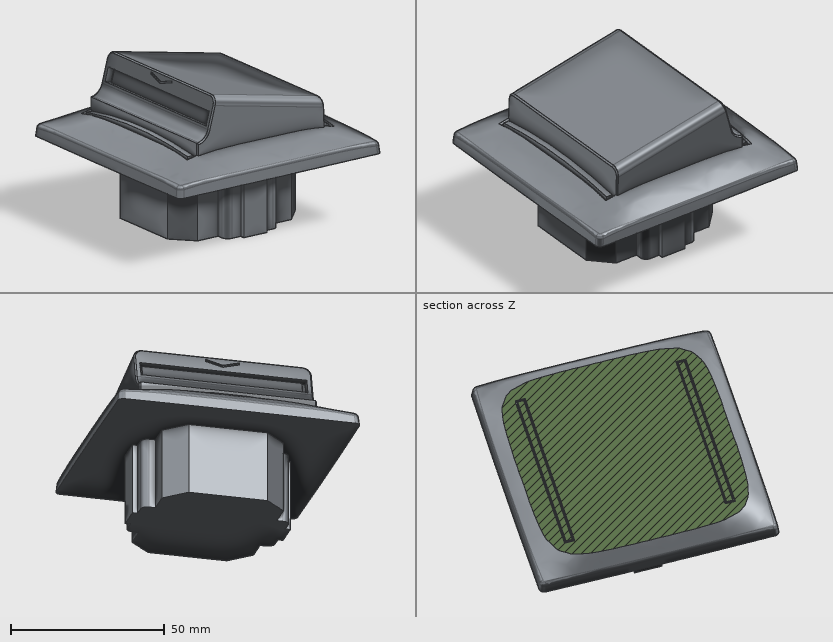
import cadquery as cq

PLATE_SIZE = 82.0
TOTAL_HEIGHT = 52.1

BASE_HEIGHT = 24.1
BASE_HALF_DEPTH = 25.7
FRONT_HALF_WIDTH = 13.3
FLANK_X = 20.5
FLANK_Y = 18.9
LOBE_X = 24.9
LOBE_Y = 10.6
LOBE_RADIUS = 2.3
RIB_X = 26.65
RIB_Y = 4.7

SIDE_BOW = 0.25
CORNER_RADIUS = 1.8
WALL_DRAFT = 6.0
RIM_HEIGHT = 27.9
CROWN_HEIGHT = 8.6
CROWN_POWER = 4.0
RIM_FILLET = 1.5
SURFACE_STEPS = 16
CLEARANCE = 0.8

OPENING_HALF_X = 28.8
OPENING_HALF_Y = 28.95
OPENING_CHAMFER = 0.65
INSERT_GAP = 0.5
INSERT_HALF_X = OPENING_HALF_X - INSERT_GAP
INSERT_HALF_Y = OPENING_HALF_Y - INSERT_GAP
OPENING_FLOOR = 30.3
INSERT_TOP_Z = 35.2
INSERT_END_Z = 33.0
BUTTON_GAP = 0.4

BUTTON_HALF_WIDTH = 30.0
BUTTON_ROOT_Z = 29.5
BUTTON_HALF_DEPTH = 25.75
BACK_TOP = (25.25, 43.1)
PEAK_TRIM = 0.1
PEAK = (-18.4, TOTAL_HEIGHT + PEAK_TRIM)
SCOOP_START = (-21.2, 41.25)
SCOOP_END = (-25.0, 37.5)
TOE_Z = 37.4
TOP_FILLET = 3.0
FACE_CHAMFER = 0.5

SLOT_HALF_WIDTH = 28.2
SLOT_TOP = 5.4
SLOT_BOTTOM = 10.4
SLOT_DEPTH = 1.9
END_HALF_WIDTH = 27.1
END_DEPTH = 2.5
ARROW_HALF_WIDTH = 5.7
ARROW_TOP = 1.15
ARROW_DROP = 1.7
ARROW_STROKE = 0.65
ARROW_DEPTH = 0.25


def make_base():
    """Prism that runs up into the plate, with two ribbed flanks."""
    right_front = [
        (FRONT_HALF_WIDTH, -BASE_HALF_DEPTH),
        (FLANK_X, -FLANK_Y),
        (FLANK_X, -LOBE_Y),
        (LOBE_X, -LOBE_Y),
        (LOBE_X, -RIB_Y),
        (RIB_X, -RIB_Y),
    ]
    right = right_front + [(x, -y) for x, y in reversed(right_front)]
    left = [(-x, -y) for x, y in right]
    base = cq.Workplane("XY").polyline(right + left).close().extrude(RIM_HEIGHT)
    for side_x in (-LOBE_X, LOBE_X):
        for side_y in (-LOBE_Y, LOBE_Y):
            corner = cq.selectors.NearestToPointSelector((side_x, side_y, RIM_HEIGHT / 2))
            base = base.edges(corner).fillet(LOBE_RADIUS)
    return base


def crown_factor(distance):
    """1 at the middle of the plate, 0 at its rim."""
    return 1 - (abs(distance) / (PLATE_SIZE / 2)) ** CROWN_POWER


def crown_z(x, y):
    return RIM_HEIGHT + CROWN_HEIGHT * crown_factor(x) * crown_factor(y)


def make_above_crown():
    """Everything above the domed crown surface."""
    reach = PLATE_SIZE / 2 + CLEARANCE
    steps = [reach * (2 * i / SURFACE_STEPS - 1) for i in range(SURFACE_STEPS + 1)]
    grid = [[cq.Vector(x, y, crown_z(x, y)) for y in steps] for x in steps]
    surface = cq.Face.makeSplineApprox(grid, tol=0.01, maxDeg=5)
    return cq.Workplane(cq.Solid.extrudeLinear(surface, cq.Vector(0, 0, 2 * CROWN_HEIGHT)))


def make_plate():
    """Drafted square with bowed sides under a domed top."""
    half = PLATE_SIZE / 2
    corner = half - SIDE_BOW
    blank = (
        cq.Workplane("XY", origin=(0, 0, BASE_HEIGHT))
        .moveTo(-corner, -corner)
        .threePointArc((0, -half), (corner, -corner))
        .threePointArc((half, 0), (corner, corner))
        .threePointArc((0, half), (-corner, corner))
        .threePointArc((-half, 0), (-corner, -corner))
        .close()
        .extrude(RIM_HEIGHT + CROWN_HEIGHT + CLEARANCE - BASE_HEIGHT, taper=WALL_DRAFT)
    )
    blank = blank.edges("not(<Z or >Z)").fillet(CORNER_RADIUS)
    plate = blank.cut(make_above_crown())
    return plate.faces(">Z").edges().fillet(RIM_FILLET)


def tall_block(half_x, half_y):
    """Rectangular block from the floor of the opening to above the crown."""
    block = cq.Workplane("XY", origin=(0, 0, OPENING_FLOOR)).rect(2 * half_x, 2 * half_y)
    return block.extrude(2 * CROWN_HEIGHT)


def cut_opening(plate):
    """Rectangular opening with a chamfered lip where it meets the crown."""
    plate = plate.cut(tall_block(OPENING_HALF_X, OPENING_HALF_Y))
    lip = plate.newObject([])
    for x, y in (
        (OPENING_HALF_X, 0),
        (-OPENING_HALF_X, 0),
        (0, OPENING_HALF_Y),
        (0, -OPENING_HALF_Y),
    ):
        nearest = cq.selectors.NearestToPointSelector((x, y, crown_z(x, y)))
        lip = lip.add(plate.edges(nearest))
    return lip.chamfer(OPENING_CHAMFER)


def make_insert():
    """Filler block arched along X, cut clear of the button's front and back faces."""
    insert = (
        cq.Workplane("XZ", origin=(0, INSERT_HALF_Y, 0))
        .moveTo(-INSERT_HALF_X, OPENING_FLOOR)
        .lineTo(-INSERT_HALF_X, INSERT_END_Z)
        .threePointArc((0, INSERT_TOP_Z), (INSERT_HALF_X, INSERT_END_Z))
        .lineTo(INSERT_HALF_X, OPENING_FLOOR)
        .close()
        .extrude(2 * INSERT_HALF_Y)
    )
    return insert.cut(tall_block(INSERT_HALF_X, BUTTON_HALF_DEPTH + BUTTON_GAP))


def exposed_band(y_min, y_max):
    """Selects what lies between two Y positions and above the button's buried root."""
    margin = 0.4
    return cq.selectors.BoxSelector(
        (-BUTTON_HALF_WIDTH - margin, y_min - margin, BUTTON_ROOT_Z + margin),
        (BUTTON_HALF_WIDTH + margin, y_max + margin, TOTAL_HEIGHT + margin),
    )


def make_button():
    """Wedge with a scooped front, and its front and back outlines chamfered."""
    body = (
        cq.Workplane("YZ", origin=(-BUTTON_HALF_WIDTH, 0, 0))
        .moveTo(BUTTON_HALF_DEPTH, BUTTON_ROOT_Z)
        .lineTo(*BACK_TOP)
        .lineTo(*PEAK)
        .lineTo(*SCOOP_START)
        .tangentArcPoint(SCOOP_END, relative=False)
        .lineTo(-BUTTON_HALF_DEPTH, TOE_Z)
        .lineTo(-BUTTON_HALF_DEPTH, BUTTON_ROOT_Z)
        .close()
        .extrude(2 * BUTTON_HALF_WIDTH)
    )
    top_sides = body.faces(">Z").edges("not(|X)")
    body = top_sides.fillet(TOP_FILLET)
    front = exposed_band(-BUTTON_HALF_DEPTH, PEAK[0])
    back = exposed_band(BACK_TOP[0], BUTTON_HALF_DEPTH)
    front_edges = body.edges(front)
    outline = front_edges.edges("not(|X)")
    outline = outline.add(front_edges.edges("|X").edges(">Z")).add(body.edges(back))
    return outline.chamfer(FACE_CHAMFER)


def face_plane():
    """Plane on the sloping front face: local y runs up the face, the peak is the origin."""
    slope = cq.Vector(0, PEAK[0] - SCOOP_START[0], PEAK[1] - SCOOP_START[1])
    across = cq.Vector(1, 0, 0)
    return cq.Plane(origin=(0, *PEAK), xDir=across, normal=across.cross(slope))


def cut_slot(button):
    """Card slot across the front face, deeper at its two ends."""
    middle = (0, -(SLOT_TOP + SLOT_BOTTOM) / 2)
    height = SLOT_BOTTOM - SLOT_TOP
    end_width = SLOT_HALF_WIDTH - END_HALF_WIDTH
    mouth = cq.Workplane(face_plane()).center(*middle)
    slot = mouth.rect(2 * SLOT_HALF_WIDTH, height).extrude(-SLOT_DEPTH)
    end_x = (SLOT_HALF_WIDTH + END_HALF_WIDTH) / 2
    ends = mouth.pushPoints([(-end_x, 0), (end_x, 0)]).rect(end_width, height).extrude(-END_DEPTH)
    return button.cut(slot).cut(ends)


def cut_arrow(button):
    """Shallow V above the slot, pointing down into it."""
    upper = [
        (-ARROW_HALF_WIDTH, -ARROW_TOP),
        (0, -ARROW_TOP - ARROW_DROP),
        (ARROW_HALF_WIDTH, -ARROW_TOP),
    ]
    lower = [(x, y - ARROW_STROKE) for x, y in reversed(upper)]
    arrow = cq.Workplane(face_plane()).polyline(upper + lower).close().extrude(-ARROW_DEPTH)
    return button.cut(arrow)


cover = cut_opening(make_plate()).union(make_insert())
button = cut_arrow(cut_slot(make_button()))
result = make_base().union(cover).union(button)